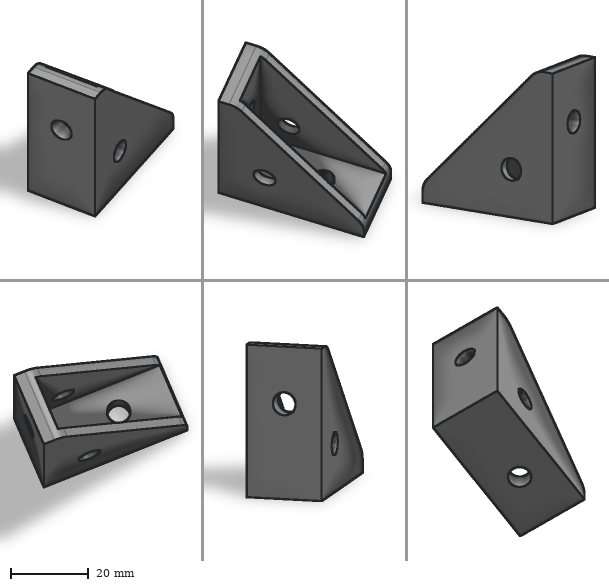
import cadquery as cq

width = 20.0
leg = 40.0

leg_thickness = 5.0
pocket_width = 15.0
tip_radius = 5.0

hole_diameter = 6.0
mount_hole_offset = 25.0
side_hole_offset = 12.7


def triangular_body():
    """Solid with a triangular side profile and rounded leg tips, centred on X = 0."""
    body = (
        cq.Workplane("YZ")
        .polyline([(0, 0), (leg, 0), (leg, leg_thickness), (leg_thickness, leg), (0, leg)])
        .close()
        .extrude(width / 2, both=True)
    )
    slope_top_edge = cq.selectors.NearestToPointSelector((0, leg_thickness, leg))
    slope_bottom_edge = cq.selectors.NearestToPointSelector((0, leg, leg_thickness))
    return body.edges(slope_top_edge + slope_bottom_edge).fillet(tip_radius)


def pocket():
    """Space between the side walls, open through the sloping edge."""
    return cq.Workplane("XY").box(pocket_width, leg, leg, centered=(True, False, False)).translate(
        (0, leg_thickness, leg_thickness)
    )


def hole(plane, across, up, length):
    """Round cutter at a point of the plane, reaching out to both sides of it."""
    return (
        cq.Workplane(plane)
        .center(across, up)
        .circle(hole_diameter / 2)
        .extrude(length, both=True)
    )


result = (
    triangular_body()
    .cut(pocket())
    .cut(hole("XZ", 0, mount_hole_offset, leg))
    .cut(hole("XY", 0, mount_hole_offset, leg))
    .cut(hole("YZ", side_hole_offset, side_hole_offset, width))
)